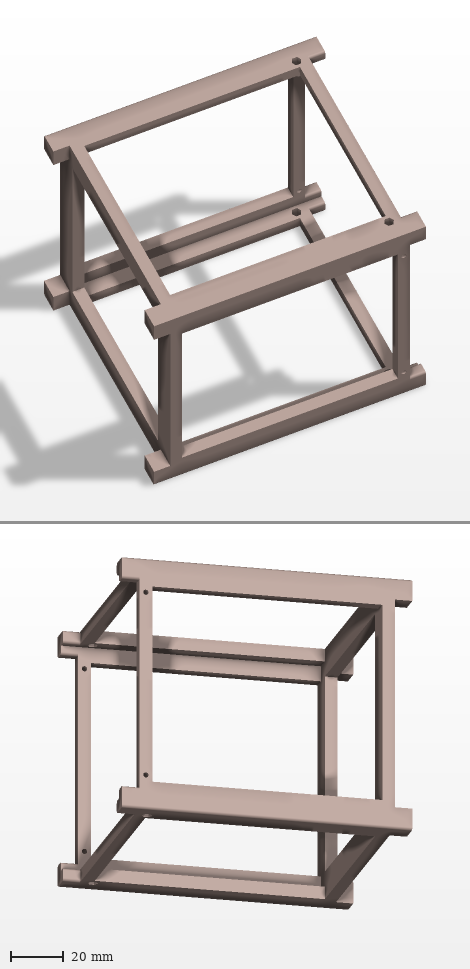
import cadquery as cq

length = 113.5
frame_side = 100.0
wall = 5.0
border = 11.0

foot_side = 8.5
foot_length = (length - frame_side) / 2
edge_radius = 1.0

rail_hole_across_corners = 4.0
hexagon_sides = 6
rail_hole_from_side = 8.0
rail_hole_from_back = 5.0
post_hole_diameter = 2.0
post_hole_from_back = 2.5
post_hole_from_end = 13.5

half = frame_side / 2
cavity_side = frame_side - 2 * wall
window_side = frame_side - 2 * border
through = 2 * length


def hollow_frame():
    """Cubic shell with a window in each face; the +Y face is open to the full cavity."""
    frame = cq.Workplane("XY").box(frame_side, frame_side, frame_side)
    cavity = cq.Workplane("XY").box(cavity_side, cavity_side, cavity_side)
    side_windows = cq.Workplane("XY").box(through, cavity_side, window_side)
    top_windows = cq.Workplane("XY").box(window_side, cavity_side, through)
    front_window = cq.Workplane("XY").box(window_side, frame_side, window_side).translate((0, -wall, 0))
    back_opening = cq.Workplane("XY").box(cavity_side, half, cavity_side).translate((0, half, 0))
    for opening in (cavity, side_windows, top_windows, front_window, back_opening):
        frame = frame.cut(opening)
    return frame


def front_foot():
    """Square foot at the +X +Z corner of the -Y face."""
    return cq.Workplane("XY").box(foot_side, foot_length, foot_side).translate(
        (half - foot_side / 2, -half - foot_length / 2, half - foot_side / 2)
    )


def back_foot():
    """L-shaped foot at the +X +Z corner of the +Y face, with rounded leg tips."""
    long_middle = half - foot_side / 2
    short_middle = half - wall / 2
    y_middle = half + foot_length / 2
    x_leg = cq.Workplane("XY").box(foot_side, foot_length, wall).edges("|Y and <X").fillet(edge_radius)
    z_leg = cq.Workplane("XY").box(wall, foot_length, foot_side).edges("|Y and <Z").fillet(edge_radius)
    x_leg = x_leg.translate((long_middle, y_middle, short_middle))
    z_leg = z_leg.translate((short_middle, y_middle, long_middle))
    return x_leg.union(z_leg)


def at_four_corners(body):
    """The body with its mirror images, one at each corner of the XZ section."""
    pair = body.union(body.mirror("YZ"))
    return pair.union(pair.mirror("XY"))


def rail_holes():
    """Vertical hexagonal holes through the top and bottom walls, with two flats facing X."""
    x = half - rail_hole_from_side
    y = half - rail_hole_from_back
    points = cq.Sketch().push([(-x, y), (x, y)])
    hexagons = points.regularPolygon(rail_hole_across_corners / 2, hexagon_sides)
    return cq.Workplane("XY").placeSketch(hexagons).extrude(half + wall, both=True)


def post_holes():
    """Holes along X through both +Y posts."""
    y = half - post_hole_from_back
    z = half - post_hole_from_end
    return (
        cq.Workplane("YZ")
        .pushPoints([(y, -z), (y, z)])
        .circle(post_hole_diameter / 2)
        .extrude(half + wall, both=True)
    )


part = hollow_frame()
for feet in (at_four_corners(front_foot()), at_four_corners(back_foot())):
    part = part.union(feet)

for edge in ("<X and >Z", "<X and <Z", ">X and <Z"):
    part = part.edges(f"|Y and {edge}").fillet(edge_radius)

result = part.cut(rail_holes()).cut(post_holes())